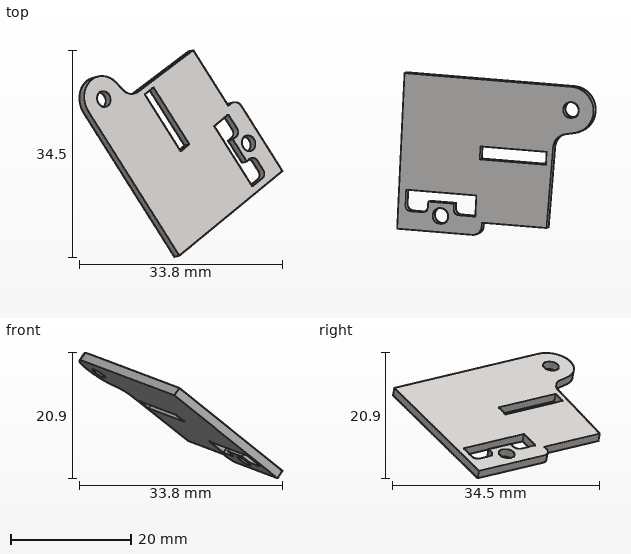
import cadquery as cq
import math

thickness = 1.5
body_width = 24.0
body_length = 25.7
end_edge_slope = 2.0
tab_width = 2.17
tab_length = 14.5
tab_corner_radius = 1.48
full_width = body_width + tab_width

hole_diameter = 2.65
ear_radius = 3.9
ear_center = (ear_radius, 28.93)
ear_flank_angle = 12.0
ear_fillet_radius = 2.48

slot_width = 2.17
slot_length = 11.4
slot_corner = (11.25, 13.65)

window_corner = (19.5, 1.25)
window_width = 3.55
window_length = 12.1
window_corner_radius = 1.0
tongue_reach = 1.85
tongue_width = 4.45
tongue_center_y = 7.35
tab_hole_center = (23.45, tongue_center_y)

normal_tilt = 34.3
normal_heading = 15.1
width_heading = 39.4


def tilted_plane():
    """Plane of the lower face, with local X along the short edge."""
    tilt = math.radians(normal_tilt)
    lean = math.radians(normal_heading)
    heading = math.radians(width_heading)
    normal = (math.sin(tilt) * math.cos(lean), math.sin(tilt) * math.sin(lean), math.cos(tilt))
    rise = -math.tan(tilt) * math.cos(heading - lean)
    return cq.Plane(origin=(0, 0, 0), xDir=(math.cos(heading), math.sin(heading), rise), normal=normal)


plane = tilted_plane()


def block(corner, width, length):
    return cq.Workplane(plane).center(*corner).rect(width, length, centered=False).extrude(thickness)


def round_corner(solid, corner, radius):
    """Fillet the through-thickness edge standing at a corner of the outline."""
    edge_middle = plane.toWorldCoords((*corner, thickness / 2))
    return solid.edges(cq.selectors.NearestToPointSelector(edge_middle)).fillet(radius)


def make_plate():
    """Solid outline: body, side tab and ear blended by a leaning flank."""
    flank = math.radians(ear_flank_angle)
    center_x, center_y = ear_center
    flank_start = (center_x + ear_radius * math.cos(flank), center_y + ear_radius * math.sin(flank))
    slope = math.tan(math.radians(end_edge_slope))
    flank_run = math.tan(flank)
    start_x, start_y = flank_start
    end_edge_y = body_length + slope * (body_width - start_x)
    drop = (start_y - end_edge_y) / (1 - slope * flank_run)
    inner_corner = (start_x + drop * flank_run, start_y - drop)
    body = (
        cq.Workplane(plane)
        .lineTo(body_width, 0)
        .lineTo(body_width, body_length)
        .lineTo(*inner_corner)
        .lineTo(*flank_start)
        .threePointArc((center_x, center_y + ear_radius), (center_x - ear_radius, center_y))
        .close()
        .extrude(thickness)
    )
    body = round_corner(body, inner_corner, ear_fillet_radius)
    tab = block((0, 0), full_width, tab_length)
    tab = round_corner(tab, (full_width, tab_length), tab_corner_radius)
    return body.union(tab)


def make_window():
    """Two rounded bays joined by a narrow passage beside the tongue."""
    left, bottom = window_corner
    right = left + window_width
    top = bottom + window_length
    tongue_bottom = tongue_center_y - tongue_width / 2
    tongue_top = tongue_center_y + tongue_width / 2
    window = block(window_corner, window_width - tongue_reach, window_length)
    for low, high, rounded in (
        (bottom, tongue_bottom, (bottom, tongue_bottom)),
        (tongue_top, top, (tongue_top,)),
    ):
        bay = block((left, low), window_width, high - low)
        for y in rounded:
            bay = round_corner(bay, (right, y), window_corner_radius)
        window = window.union(bay)
    return window


holes = (
    cq.Workplane(plane)
    .pushPoints([ear_center, tab_hole_center])
    .circle(hole_diameter / 2)
    .extrude(thickness)
)
slot = block(slot_corner, slot_width, slot_length)

result = make_plate().cut(holes).cut(slot).cut(make_window())